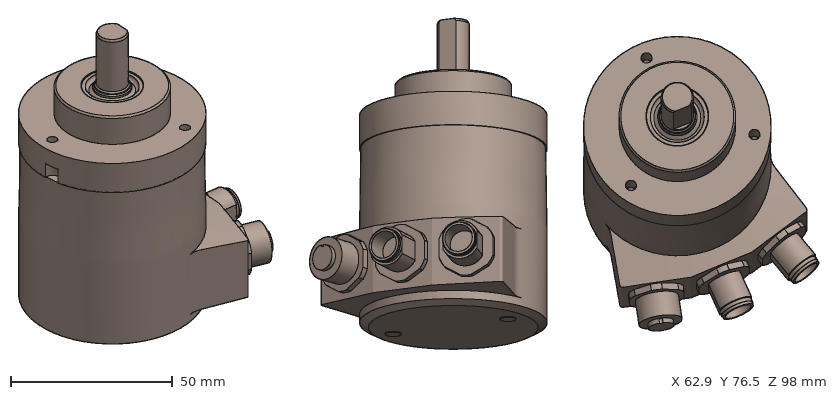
import cadquery as cq
import math

housing_r = 29.0
housing_top_z = 57.4
sleeve_base_z = 31.4
sleeve_top_r = 28.6
base_z = 0.3
base_r = 26.3
base_bevel_top_z = 1.8
foot_r = 2.5
foot_x = 19.9
foot_y = 1.9

box_bottom_z = 4.4
box_rim_z = 26.5
box_top_slope = 5.5
box_face_y = 34.5
side_angle = 15.0
wing_face_dist = 36.0
wing_face_reach = 23.1
wall_angle = 13.8
box_corner_r = 1.0
box_root_r = 7.8
box_reach = 58.8

flange_r = housing_r
flange_top_z = 68.1
pilot_r = 18.0
pilot_top_z = 78.2
pilot_chamfer = 0.6
bore_r = 9.5
bore_chamfer = 0.2
bolt_circle_r = 24.0
bolt_hole_d = 3.3
bolt_hole_depth = 7.35
drill_tip_angle = 118.0
bolt_angles = (30, 150, 270)
notch_r = 2.5
notch_height = 5.1
notch_angle = -80.0
notch_center_r = 28.4

bearing_top_z = pilot_top_z - 0.3
bearing_bottom_z = flange_top_z
groove_outer_r = 8.3
groove_bottom_r = 7.3
groove_inner_r = 6.1
groove_inner_depth = 0.6
lip_height = 0.5
lip_chamfer = 0.4
groove_depth = 1.5

shaft_r = 5.0
shaft_top_z = 98.0
shaft_chamfer = 0.8
shaft_chamfer_width = 0.4
collar_r = 5.5
collar_top_z = 79.1
flat_y = 4.0
flat_bottom_z = 80.3

connector_z = 15.5
wing_offset = 12.0
nut_height = 2.1
nut_flats = 17.1
nut_round_r = 9.0
plug_length = 13.0
plug_r = 6.1
plug_flats = 10.6
plug_shoulder = 11.0
plug_tip_start = 12.2
plug_shoulder_r = 5.3
plug_tip_r = 5.1
plug_bore_r = 4.3
plug_bore_depth = 7.8
socket_r = 6.8
socket_length = 9.8
insert_r = 4.0
insert_length = 11.4
key_width = 1.2


def revolve(points):
    """Solid of revolution about Z from (radius, z) points."""
    return cq.Workplane("XZ").polyline(points).close().revolve(360, (0, 0), (0, 1))


def cylinder(radius, bottom, top):
    return cq.Workplane("XY").workplane(offset=bottom).circle(radius).extrude(top - bottom)


def make_connector_box():
    """Box with three connector faces, blended into the housing cylinder."""
    swing = math.radians(side_angle)
    sin_a = math.sin(swing)
    cos_a = math.cos(swing)

    shoulder_x = (wing_face_dist - box_face_y * cos_a) / sin_a
    corner_x = wing_face_dist * sin_a + wing_face_reach * cos_a
    corner_y = wing_face_dist * cos_a - wing_face_reach * sin_a
    lean = math.radians(wall_angle)
    wall_dist = corner_x * math.cos(lean) - corner_y * math.sin(lean)
    root_angle = math.acos(wall_dist / housing_r) - lean
    root_x = housing_r * math.cos(root_angle)
    root_y = housing_r * math.sin(root_angle)

    wedge = (
        cq.Workplane("XY").workplane(offset=box_bottom_z)
        .polyline([
            (0, 0), (root_x, root_y), (corner_x, corner_y), (shoulder_x, box_face_y),
            (-shoulder_x, box_face_y), (-corner_x, corner_y), (-root_x, root_y),
        ])
        .close().extrude(box_rim_z - box_bottom_z)
    )
    prism = cylinder(housing_r, box_bottom_z, box_rim_z).union(wedge)
    for side in (-1, 1):
        prism = prism.edges(cq.NearestToPointSelector((side * corner_x, corner_y, connector_z)))
        prism = prism.fillet(box_corner_r)
        prism = prism.edges(cq.NearestToPointSelector((side * root_x, root_y, connector_z)))
        prism = prism.fillet(box_root_r)

    slope = math.tan(math.radians(box_top_slope))
    roof = revolve([
        (0, box_bottom_z),
        (box_reach, box_bottom_z),
        (box_reach, box_rim_z - (box_reach - housing_r) * slope),
        (housing_r, box_rim_z),
        (0, box_rim_z),
    ])
    return prism.intersect(roof)


def make_housing():
    body = revolve([
        (0, base_z), (base_r, base_z), (housing_r, base_bevel_top_z),
        (housing_r, sleeve_base_z), (sleeve_top_r, housing_top_z), (0, housing_top_z),
    ])
    feet = (
        cq.Workplane("XY").pushPoints([(-foot_x, foot_y), (foot_x, foot_y)])
        .circle(foot_r).extrude(base_z)
    )
    return body.union(make_connector_box()).union(feet)


def make_flange():
    flange = cylinder(flange_r, housing_top_z, flange_top_z)
    pilot = cylinder(pilot_r, flange_top_z, pilot_top_z).faces(">Z").chamfer(pilot_chamfer)
    bore = revolve([
        (0, bearing_bottom_z), (bore_r, bearing_bottom_z), (bore_r, pilot_top_z - bore_chamfer),
        (bore_r + bore_chamfer, pilot_top_z), (0, pilot_top_z),
    ])
    flange = flange.union(pilot).cut(bore)

    hole_r = bolt_hole_d / 2
    tip_height = hole_r / math.tan(math.radians(drill_tip_angle / 2))
    hole_bottom_z = flange_top_z - bolt_hole_depth
    drill = revolve([
        (0, hole_bottom_z - tip_height), (hole_r, hole_bottom_z),
        (hole_r, flange_top_z), (0, flange_top_z),
    ])
    for angle in bolt_angles:
        hole = drill.translate((bolt_circle_r, 0, 0)).rotate((0, 0, 0), (0, 0, 1), angle)
        flange = flange.cut(hole)

    notch = cylinder(notch_r, housing_top_z, housing_top_z + notch_height)
    notch = notch.translate((notch_center_r, 0, 0)).rotate((0, 0, 0), (0, 0, 1), notch_angle)
    return flange.cut(notch)


def make_bearing():
    """Ring between bore and shaft, with a raised inner lip and a groove rounded on its outer side."""
    groove_z = bearing_top_z - groove_depth
    lip_z = bearing_top_z + lip_height
    groove_width = groove_outer_r - groove_bottom_r
    arc_mid = (
        groove_bottom_r + groove_width * math.sin(math.pi / 4),
        bearing_top_z - groove_depth * math.cos(math.pi / 4),
    )
    return (
        cq.Workplane("XZ")
        .moveTo(collar_r, bearing_bottom_z)
        .lineTo(bore_r, bearing_bottom_z)
        .lineTo(bore_r, bearing_top_z)
        .lineTo(groove_outer_r, bearing_top_z)
        .threePointArc(arc_mid, (groove_bottom_r, groove_z))
        .lineTo(groove_inner_r, bearing_top_z - groove_inner_depth)
        .lineTo(groove_inner_r, lip_z - lip_chamfer)
        .lineTo(groove_inner_r - lip_chamfer, lip_z)
        .lineTo(collar_r, lip_z)
        .close().revolve(360, (0, 0), (0, 1))
    )


def make_shaft():
    collar_rim_z = collar_top_z - (collar_r - shaft_r)
    shaft = revolve([
        (0, bearing_bottom_z), (collar_r, bearing_bottom_z), (collar_r, collar_rim_z),
        (shaft_r, collar_top_z), (shaft_r, shaft_top_z - shaft_chamfer),
        (shaft_r - shaft_chamfer_width, shaft_top_z), (0, shaft_top_z),
    ])
    flat = (
        cq.Workplane("XY").workplane(offset=flat_bottom_z).center(0, flat_y)
        .rect(2 * shaft_r, 2 * shaft_r).extrude(shaft_top_z - flat_bottom_z)
        .translate((0, shaft_r, 0))
    )
    return shaft.cut(flat)


def make_nut():
    """Hexagon with turned corners and two flats facing along local X."""
    hexagon = cq.Workplane("XY").polygon(6, nut_flats, circumscribed=True).extrude(nut_height)
    return hexagon.intersect(cylinder(nut_round_r, 0, nut_height))


def make_plug():
    """Stepped hollow barrel with a flat on either side."""
    barrel = revolve([
        (0, 0), (plug_r, 0), (plug_r, plug_shoulder),
        (plug_shoulder_r, plug_shoulder), (plug_shoulder_r, plug_tip_start),
        (plug_tip_r, plug_tip_start), (plug_tip_r, plug_length), (0, plug_length),
    ])
    flats = cq.Workplane("XY").rect(plug_flats, 2 * plug_r).extrude(plug_length)
    bore = cylinder(plug_bore_r, plug_length - plug_bore_depth, plug_length)
    return barrel.intersect(flats).union(make_nut()).cut(bore)


def make_socket():
    """Plain barrel with a keyed insert standing out of its end."""
    insert = cylinder(insert_r, socket_length, insert_length)
    key_slot = (
        cq.Workplane("XY").workplane(offset=socket_length).center(0, insert_r)
        .circle(key_width / 2).extrude(insert_length - socket_length)
    )
    return cylinder(socket_r, 0, socket_length).union(insert.cut(key_slot)).union(make_nut())


def mount(connector, angle, face_dist, offset):
    """Set a connector on a box face swung by angle (degrees) from +Y towards +X."""
    seated = connector.rotate((0, 0, 0), (1, 0, 0), -90).rotate((0, 0, 0), (0, 1, 0), 180)
    seated = seated.translate((offset, face_dist, connector_z))
    return seated.rotate((0, 0, 0), (0, 0, 1), -angle)


housing = make_housing()
flange = make_flange()
bearing = make_bearing()
shaft = make_shaft()

plugs = []
for angle, face_dist, offset in (
    (0, box_face_y, 0),
    (-side_angle, wing_face_dist, -wing_offset),
):
    plugs.append(mount(make_plug(), angle, face_dist, offset).val())
socket = mount(make_socket(), side_angle, wing_face_dist, wing_offset)

result = cq.Compound.makeCompound([
    housing.val(), flange.val(), bearing.val(), shaft.val(), *plugs, socket.val(),
])